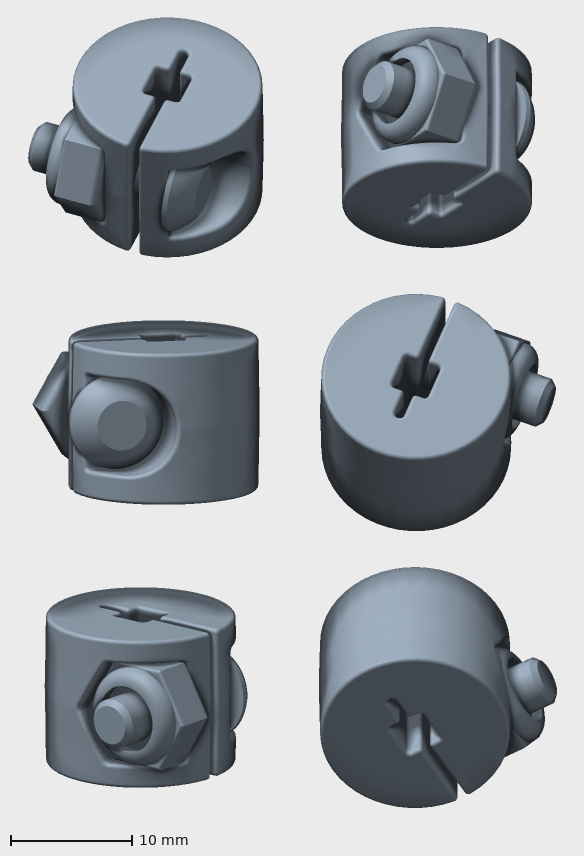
import cadquery as cq
import math

CLAMP_RADIUS = 7.95
CLAMP_HEIGHT = 12.7
DRAFT_ANGLE = 1.0
EDGE_RADIUS = 0.32
SQUARE_SIDE = 3.18
SLOT_WIDTH = 0.79
SLOT_END_Y = 4.09

SCREW_Y = -4.71
SCREW_RADIUS = 2.09
SCREW_TIP_X = -9.9
TIP_CHAMFER = 0.46
SEAT_X = 2.77

HEAD_RADIUS = 3.96
HEAD_RIM = 0.43
HEAD_HEIGHT = 2.21
HEAD_FLAT_RADIUS = 2.09
HEAD_POCKET_RADIUS = 4.02
HEAD_POCKET_FILLET = 0.27

NUT_ACROSS_FLATS = 8.57
HEX_THICKNESS = 3.66
NUT_HEIGHT = 5.0
HEX_SEAT_FILLET = 0.55
HEX_OUTER_FILLET = 0.23
COLLAR_RADIUS = 4.18
COLLAR_FILLET = 1.27
RECESS_RADIUS = 2.82
RECESS_DEPTH = 1.0
NUT_CLEARANCE = 0.09
NUT_POCKET_FILLET = 0.52

HALF_HEIGHT = CLAMP_HEIGHT / 2
TAPER = math.tan(math.radians(DRAFT_ANGLE))
CLAMP_END_RADIUS = CLAMP_RADIUS - HALF_HEIGHT * TAPER
REACH = 2 * CLAMP_RADIUS
SURFACE_TOLERANCE = 0.002


def across_screw(x):
    """Workplane square to the screw axis at x, facing +X, with local X along Y."""
    return cq.Workplane("YZ", origin=(x, SCREW_Y, 0))


def hexagon_bar(across_flats, length):
    """Hexagonal bar from the nut seat toward -X, with two corners pointing along Y."""
    corner_diameter = across_flats / math.cos(math.radians(30))
    return across_screw(-SEAT_X).polygon(6, corner_diameter).extrude(-length)


def clamp_blank():
    """Double-tapered round block with the square bore, the slot and rounded edges."""
    blank = (
        cq.Workplane("XZ")
        .moveTo(0, -HALF_HEIGHT)
        .lineTo(CLAMP_END_RADIUS, -HALF_HEIGHT)
        .lineTo(CLAMP_RADIUS, 0)
        .lineTo(CLAMP_END_RADIUS, HALF_HEIGHT)
        .lineTo(0, HALF_HEIGHT)
        .close()
        .revolve(360, (0, 0, 0), (0, 1, 0))
        .rotate((0, 0, 0), (0, 0, 1), 90)
    )
    bore = cq.Workplane("XY").rect(SQUARE_SIDE, SQUARE_SIDE).extrude(HALF_HEIGHT, both=True)
    bore = bore.edges("|Z").fillet(EDGE_RADIUS)
    slot_length = SLOT_END_Y + REACH
    slot = (
        cq.Workplane("XY")
        .center(0, SLOT_END_Y - slot_length / 2)
        .slot2D(slot_length, SLOT_WIDTH, 90)
        .extrude(HALF_HEIGHT, both=True)
    )
    blank = blank.cut(bore).cut(slot)

    inner_corners = cq.selectors.BoxSelector(
        (-SLOT_WIDTH, -SQUARE_SIDE, -CLAMP_HEIGHT), (SLOT_WIDTH, SLOT_END_Y - SLOT_WIDTH, CLAMP_HEIGHT)
    )
    mouth = cq.selectors.BoxSelector(
        (-SLOT_WIDTH, -REACH, -CLAMP_HEIGHT), (SLOT_WIDTH, 2 * SCREW_Y + SQUARE_SIDE / 2, CLAMP_HEIGHT)
    )
    corners = blank.edges("|Z").edges(inner_corners)
    lips = blank.edges(mouth).edges("(not #Z) and (not |X)")
    return blank.faces("|Z").edges().add(corners).add(lips).fillet(EDGE_RADIUS)


def head_pocket():
    """U-shaped pocket for the screw head, open toward +X and -Y."""
    return (
        across_screw(SEAT_X)
        .moveTo(-REACH, -HEAD_POCKET_RADIUS)
        .lineTo(0, -HEAD_POCKET_RADIUS)
        .threePointArc((HEAD_POCKET_RADIUS, 0), (0, HEAD_POCKET_RADIUS))
        .lineTo(-REACH, HEAD_POCKET_RADIUS)
        .close()
        .extrude(REACH)
        .faces("<X")
        .edges()
        .fillet(HEAD_POCKET_FILLET)
    )


def nut_pocket():
    """Hexagonal pocket around the nut, open toward -X, with rounded corners and floor edge."""
    pocket = hexagon_bar(NUT_ACROSS_FLATS + 2 * NUT_CLEARANCE, REACH)
    pocket = pocket.edges("|X").fillet(NUT_POCKET_FILLET)
    return pocket.faces(">X").edges().fillet(NUT_POCKET_FILLET)


def on_outer_surface(point):
    """True for a point on the tapered outside of the clamp."""
    surface_radius = CLAMP_RADIUS - abs(point.z) * TAPER
    return abs(math.hypot(point.x, point.y) - surface_radius) < SURFACE_TOLERANCE


def is_pocket_rim(edge):
    """True for the edges where a pocket breaks out through the tapered outside."""
    samples = [edge.positionAt(step / 4) for step in range(5)]
    beside_slot = abs(edge.Center().x) < SEAT_X - 0.18
    at_mid_height = all(abs(p.z) < SURFACE_TOLERANCE for p in samples)
    at_an_end = any(abs(p.z) > HALF_HEIGHT - 2 * EDGE_RADIUS for p in samples)
    on_outside = all(on_outer_surface(p) for p in samples)
    return on_outside and not (beside_slot or at_mid_height or at_an_end)


def make_clamp():
    """Clamp with both pockets, their rounded rims, the screw hole and the head seat."""
    body = clamp_blank().cut(nut_pocket()).cut(head_pocket())
    rims = [edge for edge in body.edges().vals() if is_pocket_rim(edge)]
    body = body.newObject(rims).fillet(EDGE_RADIUS)
    screw_hole = across_screw(-REACH).circle(SCREW_RADIUS).extrude(2 * REACH)
    head_seat = across_screw(SEAT_X).circle(HEAD_RADIUS).extrude(HEAD_HEIGHT)
    return body.cut(screw_hole).cut(head_seat)


def make_screw():
    """Shank with a chamfered tip and a domed head with a flat end, turned about its axis."""
    rim_x = SEAT_X + HEAD_RIM
    end_x = SEAT_X + HEAD_HEIGHT
    centre_x = (rim_x + end_x) / 2 - (HEAD_RADIUS**2 - HEAD_FLAT_RADIUS**2) / (2 * (end_x - rim_x))
    dome_radius = math.hypot(rim_x - centre_x, HEAD_RADIUS)
    rim_angle = math.atan2(HEAD_RADIUS, rim_x - centre_x)
    flat_angle = math.atan2(HEAD_FLAT_RADIUS, end_x - centre_x)
    middle_angle = (rim_angle + flat_angle) / 2
    dome_middle = (
        centre_x + dome_radius * math.cos(middle_angle),
        dome_radius * math.sin(middle_angle),
    )
    return (
        cq.Workplane("XY", origin=(0, SCREW_Y, 0))
        .moveTo(SCREW_TIP_X, 0)
        .lineTo(SCREW_TIP_X, SCREW_RADIUS - TIP_CHAMFER)
        .lineTo(SCREW_TIP_X + TIP_CHAMFER, SCREW_RADIUS)
        .lineTo(SEAT_X, SCREW_RADIUS)
        .lineTo(SEAT_X, HEAD_RADIUS)
        .lineTo(rim_x, HEAD_RADIUS)
        .threePointArc(dome_middle, (end_x, HEAD_FLAT_RADIUS))
        .lineTo(end_x, 0)
        .close()
        .revolve(360, (0, 0, 0), (1, 0, 0))
    )


def make_nut():
    """Hexagon with rounded ends and a round collar, recessed around the screw."""
    hexagon = hexagon_bar(NUT_ACROSS_FLATS, HEX_THICKNESS)
    hexagon = hexagon.faces(">X").edges().fillet(HEX_SEAT_FILLET)
    hexagon = hexagon.faces("<X").edges().fillet(HEX_OUTER_FILLET)
    collar_start_x = -SEAT_X - HEX_THICKNESS / 2
    collar_length = NUT_HEIGHT - HEX_THICKNESS / 2
    collar = across_screw(collar_start_x).circle(COLLAR_RADIUS).extrude(-collar_length)
    collar = collar.faces("<X").edges().fillet(COLLAR_FILLET)
    recess = across_screw(-SEAT_X - NUT_HEIGHT).circle(RECESS_RADIUS).extrude(RECESS_DEPTH)
    bore = across_screw(-SEAT_X).circle(SCREW_RADIUS).extrude(-NUT_HEIGHT)
    return hexagon.union(collar).cut(recess).cut(bore)


clamp = make_clamp()
screw = make_screw()
nut = make_nut()
result = cq.Compound.makeCompound([clamp.val(), screw.val(), nut.val()])